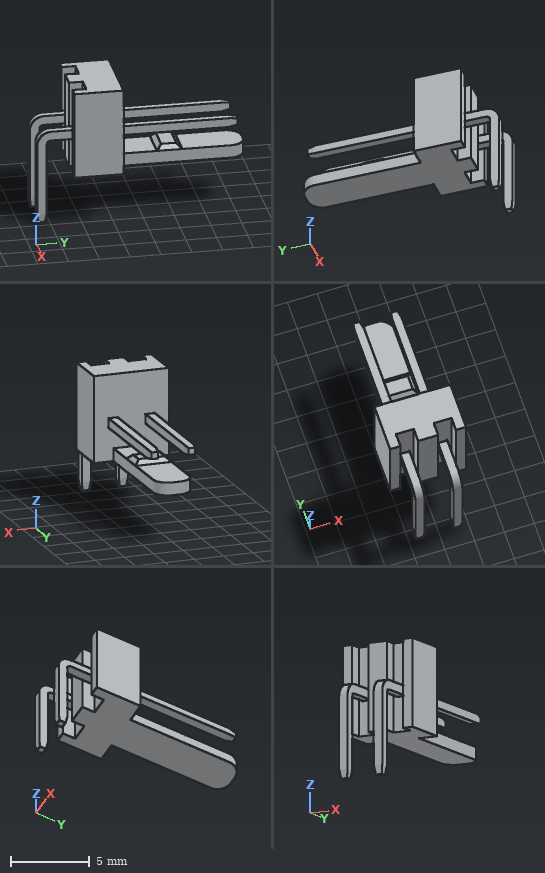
import cadquery as cq


housing_width = 5.12
housing_depth = 3.21
housing_height = 5.83
housing_front = 2.22
housing_back = housing_front + housing_depth

slot_width = 1.18
slot_depth = 0.9

tongue_end = 13.62
tongue_width = 2.48
tongue_thickness = 0.87
tongue_corner_radius = 1.0
ridge_start = 7.83
ridge_length = 1.65
ridge_height = 0.33

pin_pitch = 2.53
pin_size = 0.63
pin_top = housing_height / 2
pin_bottom = pin_top - pin_size
pin_back_tip = 13.02
pin_low_tip = -3.36
bend_outer_radius = 0.91
tip_length = 0.57
tip_size = 0.45

pin_positions = [-pin_pitch / 2, pin_pitch / 2]


def make_tongue():
    tongue_length = tongue_end - housing_back
    return (
        cq.Workplane("XY", origin=(0, housing_back, 0))
        .box(tongue_width, tongue_length, tongue_thickness, centered=(True, False, False))
        .edges("|Z and >Y")
        .fillet(tongue_corner_radius)
    )


def make_ridge():
    """Latch ridge as wide as the tongue, with 45 degree slopes on all four sides."""
    return (
        cq.Workplane("XY", origin=(0, ridge_start + ridge_length / 2, tongue_thickness))
        .rect(tongue_width, ridge_length)
        .workplane(offset=ridge_height)
        .rect(tongue_width - 2 * ridge_height, ridge_length - 2 * ridge_height)
        .loft()
    )


def make_housing():
    body = (
        cq.Workplane("XY")
        .box(housing_width, housing_depth, housing_height, centered=(True, False, False))
        .translate((0, housing_front, 0))
    )
    body = body.union(make_tongue()).union(make_ridge())
    slot = cq.Workplane("XY").box(slot_width, slot_depth, housing_height, centered=(True, False, False))
    passage = cq.Workplane("XY").box(pin_size, housing_depth, pin_size, centered=(True, False, False))
    for x in pin_positions:
        body = body.cut(slot.translate((x, housing_front, 0)))
        body = body.cut(passage.translate((x, housing_front, pin_bottom)))
    return body


def make_pin(x):
    """Bent pin centred on x, with a tapered tip at each end."""
    back_shoulder = pin_back_tip - tip_length
    low_shoulder = pin_low_tip + tip_length
    bar = (
        cq.Workplane("YZ")
        .moveTo(back_shoulder, pin_top)
        .lineTo(bend_outer_radius, pin_top)
        .radiusArc((0, pin_top - bend_outer_radius), -bend_outer_radius)
        .lineTo(0, low_shoulder)
        .lineTo(pin_size, low_shoulder)
        .lineTo(pin_size, pin_top - bend_outer_radius)
        .radiusArc((bend_outer_radius, pin_bottom), bend_outer_radius - pin_size)
        .lineTo(back_shoulder, pin_bottom)
        .close()
        .extrude(pin_size / 2, both=True)
    )
    pin = bar
    for end_face in (">Y", "<Z"):
        tip = (
            bar.faces(end_face)
            .workplane(centerOption="CenterOfMass")
            .rect(pin_size, pin_size)
            .workplane(offset=tip_length)
            .rect(tip_size, tip_size)
            .loft(combine=False)
        )
        pin = pin.union(tip)
    return pin.translate((x, 0, 0))


housing = make_housing()
pins = [make_pin(x) for x in pin_positions]

result = cq.Compound.makeCompound([housing.val(), *[pin.val() for pin in pins]])